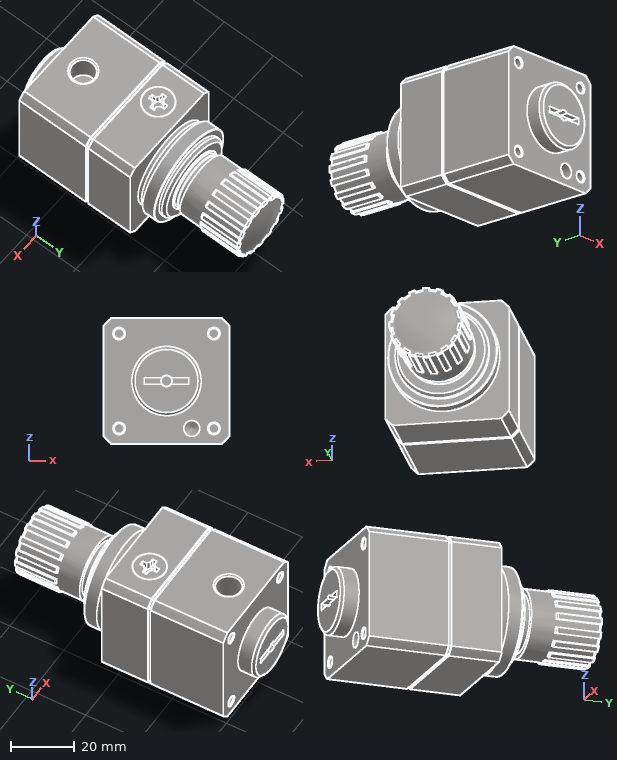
import cadquery as cq
import math


block_side = 40.0
block_corner_diameter = 53.1
lower_length = 27.0
gap_length = 1.0
gap_inset = 0.5
upper_length = 17.0
gap_back = lower_length + gap_length
upper_back = gap_back + upper_length

plug_diameter = 22.0
plug_length = 6.0
plug_chamfer = 1.0
slot_length = 14.0
slot_width = 2.1
slot_depth = 2.7
slot_hole_diameter = 3.5
slot_hole_depth = 3.15

corner_hole_offset = 15.0
corner_hole_diameter = 3.2
corner_hole_mouth = 3.9
corner_hole_depth = 9.0
pilot_diameter = 5.0
pilot_x = 8.0
pilot_depth = 3.6
port_diameter = 8.55
port_mouth = 9.7
port_depth = 10.0
port_y = 10.0
drill_tip_angle = 118.0

neck_diameter = 31.95
neck_length = 1.4
collar_diameter = 35.2
collar_taper_length = 1.8
collar_length = 4.7
collar_edge = 0.2
shoulder_diameter = 30.2
shoulder_length = 2.2
shoulder_chamfer = 1.1
flange_diameter = 22.0
flange_length = 0.3
stem_foot_diameter = 20.4
stem_foot_length = 1.1
stem_diameter = 19.35
stem_length = 1.9

overall_length = 90.0
knob_diameter = 22.7
knob_rib_circle = 23.8
knob_dome_diameter = 19.6
knob_dome_height = 1.8
knob_edge_chamfer = 0.7
rib_count = 16
rib_width = 2.0
rib_depth = 2.1
rib_length = 15.5
rib_back_chamfer = 0.4
rib_front_chamfer = 0.45

screw_diameter = 10.9
screw_seat_diameter = 11.1
screw_x = -6.0
screw_y = 35.55
screw_length = 7.2
cross_span = 6.2
cross_width = 1.5
cross_depth = 2.7
screw_hole_diameter = 3.6
screw_hole_depth = 3.15

collar_start = upper_back + neck_length
collar_full = collar_start + collar_taper_length
collar_back = collar_full + collar_length
shoulder_back = collar_back + shoulder_length
flange_back = shoulder_back + flange_length
foot_back = flange_back + stem_foot_length
knob_front = foot_back + stem_length
knob_back = overall_length - plug_length
rib_back = knob_back - knob_dome_height
rib_front = rib_back - rib_length


def cylinder(diameter, start, length):
    """Round bar on the Y axis."""
    return cq.Workplane("XZ", origin=(0, start, 0)).circle(diameter / 2).extrude(-length)


def block(inset, start, length):
    """Square bar along Y whose four long edges are turned to a circle about the axis, all inset evenly."""
    side = block_side - 2 * inset
    bar = cq.Workplane("XY").box(side, length, side).translate((0, start + length / 2, 0))
    return bar.intersect(cylinder(block_corner_diameter - 2 * inset, start, length))


def sunk_hole(diameter, mouth, depth):
    """Cutter for a flat-bottomed hole with a 45 degree mouth: opening at the origin, running along -Z."""
    mouth_depth = (mouth - diameter) / 2
    profile = [
        (0, 0),
        (mouth / 2, 0),
        (diameter / 2, -mouth_depth),
        (diameter / 2, -depth),
        (0, -depth),
    ]
    return cq.Workplane("XZ").polyline(profile).close().revolve(360, (0, 0), (0, 1))


def drilled_hole(diameter, depth):
    """Cutter for a hole with a conical end: opening at the origin, running along -Z."""
    tip_length = diameter / 2 / math.tan(math.radians(drill_tip_angle / 2))
    profile = [(0, 0), (diameter / 2, 0), (diameter / 2, -depth), (0, -depth - tip_length)]
    return cq.Workplane("XZ").polyline(profile).close().revolve(360, (0, 0), (0, 1))


def from_front(cutter, x, z):
    """Turn a -Z cutter so that it enters the front face (Y = 0) toward +Y."""
    return cutter.rotate((0, 0, 0), (1, 0, 0), 90).translate((x, 0, z))


def make_lower_block():
    body = block(0, 0, lower_length)

    plug = cylinder(plug_diameter, -plug_length, plug_length).faces("<Y").chamfer(plug_chamfer)
    slot = cq.Workplane("XY").box(slot_length, slot_depth, slot_width)
    plug = plug.cut(slot.translate((0, -plug_length + slot_depth / 2, 0)))
    plug = plug.cut(cylinder(slot_hole_diameter, -plug_length, slot_hole_depth))
    body = body.union(plug)

    corner_hole = sunk_hole(corner_hole_diameter, corner_hole_mouth, corner_hole_depth)
    for x in (-corner_hole_offset, corner_hole_offset):
        for z in (-corner_hole_offset, corner_hole_offset):
            body = body.cut(from_front(corner_hole, x, z))
    body = body.cut(from_front(drilled_hole(pilot_diameter, pilot_depth), pilot_x, -corner_hole_offset))

    port = sunk_hole(port_diameter, port_mouth, port_depth)
    return body.cut(port.translate((0, port_y, block_side / 2)))


def make_upper_block():
    body = block(0, gap_back, upper_length)
    body = body.union(block(gap_inset, lower_length, gap_length))

    stem_profile = [
        (0, upper_back),
        (neck_diameter / 2, upper_back),
        (neck_diameter / 2, collar_start),
        (collar_diameter / 2, collar_full),
        (collar_diameter / 2, collar_back - collar_edge),
        (collar_diameter / 2 - collar_edge, collar_back),
        (shoulder_diameter / 2, collar_back),
        (shoulder_diameter / 2, shoulder_back - shoulder_chamfer),
        (shoulder_diameter / 2 - shoulder_chamfer, shoulder_back),
        (flange_diameter / 2, shoulder_back),
        (flange_diameter / 2, flange_back),
        (stem_foot_diameter / 2, flange_back),
        (stem_foot_diameter / 2, foot_back),
        (stem_diameter / 2, foot_back),
        (stem_diameter / 2, knob_front),
        (0, knob_front),
    ]
    stem = cq.Workplane("XY").polyline(stem_profile).close().revolve(360, (0, 0), (0, 1))
    body = body.union(stem)

    screw_seat = cq.Workplane("XY").circle(screw_seat_diameter / 2).extrude(-screw_length)
    return body.cut(screw_seat.translate((screw_x, screw_y, block_side / 2)))


def make_knob():
    radius = knob_diameter / 2
    dome_rim = knob_dome_diameter / 2
    dome_radius = (dome_rim**2 + knob_dome_height**2) / (2 * knob_dome_height)
    half_angle = math.asin(dome_rim / dome_radius) / 2
    dome_mid = (
        dome_radius * math.sin(half_angle),
        knob_back - dome_radius * (1 - math.cos(half_angle)),
    )
    core = (
        cq.Workplane("XY")
        .moveTo(0, knob_front)
        .lineTo(radius, knob_front)
        .lineTo(radius, rib_back - knob_edge_chamfer)
        .lineTo(radius - knob_edge_chamfer, rib_back)
        .lineTo(dome_rim, rib_back)
        .threePointArc(dome_mid, (0, knob_back))
        .close()
        .revolve(360, (0, 0), (0, 1))
    )

    rib_envelope = cylinder(knob_rib_circle, rib_front, rib_length)
    rib_envelope = rib_envelope.faces("<Y").chamfer(rib_front_chamfer)
    rib_envelope = rib_envelope.faces(">Y").chamfer(rib_back_chamfer)
    rib_bar = cq.Workplane("XY").box(rib_width, rib_length, rib_depth)
    rib_bar = rib_bar.translate((0, rib_front + rib_length / 2, (knob_rib_circle - rib_depth) / 2))
    rib = rib_bar.intersect(rib_envelope)
    knob = core
    for i in range(rib_count):
        knob = knob.union(rib.rotate((0, 0, 0), (0, 1, 0), i * 360 / rib_count))
    return knob


def make_screw():
    screw = cq.Workplane("XY").circle(screw_diameter / 2).extrude(-screw_length)
    for length_x, length_y in ((cross_span, cross_width), (cross_width, cross_span)):
        screw = screw.cut(cq.Workplane("XY").rect(length_x, length_y).extrude(-cross_depth))
    screw = screw.cut(drilled_hole(screw_hole_diameter, screw_hole_depth))
    return screw.translate((screw_x, screw_y, block_side / 2))


lower_block = make_lower_block()
upper_block = make_upper_block()
knob = make_knob()
screw = make_screw()

result = cq.Compound.makeCompound([lower_block.val(), upper_block.val(), knob.val(), screw.val()])